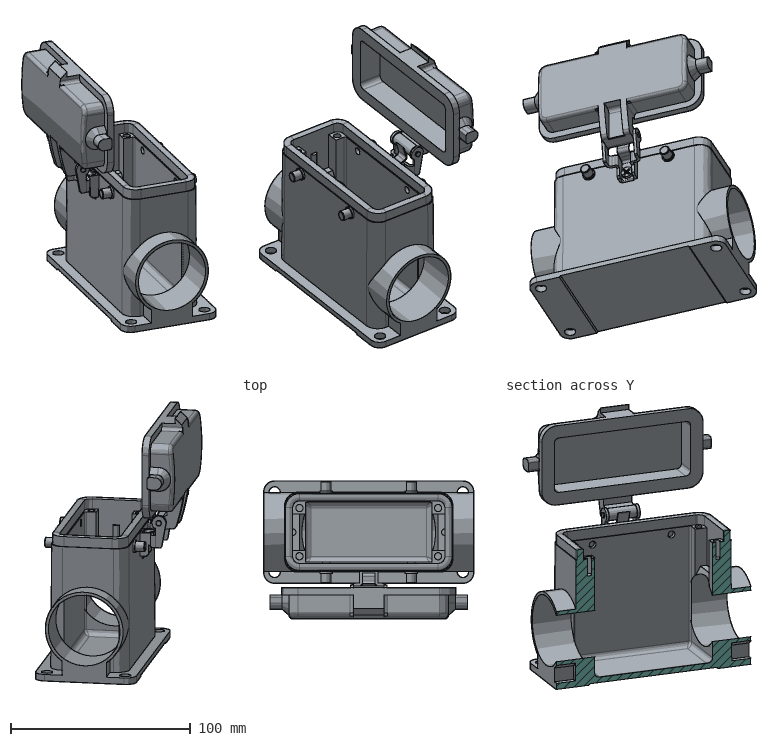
import cadquery as cq
import math

base_length, base_width, base_height = 117.0, 57.0, 3.8
base_corner_radius = 6.0
base_hole_diameter, base_hole_x, base_hole_y = 6.2, 52.4, 22.1
relief_half_length, relief_depth = 38.2, 0.8

wall_length, wall_width, wall_corner_radius = 94.4, 44.6, 7.8
wall_top, wall_draft = 74.6, 0.4
collar_length, collar_width, collar_corner_radius = 92.7, 42.7, 7.7
housing_top, lip_crown = 80.8, 0.5
lip_base = housing_top - lip_crown
lip_thickness = 4.0

mouth_length = collar_length - 2 * lip_thickness
mouth_width = collar_width - 2 * lip_thickness
mouth_corner_radius = collar_corner_radius - lip_thickness
pad_level, ledge_level, ramp_foot_level = 74.5, 52.5, 47.0
pad_inner_y = 10.2
ledge_inner_x = 38.5
pad_hole_diameter, pad_hole_x, pad_hole_y, pad_hole_depth = 4.0, 38.6, 13.4, 10.0
well_length, well_width, well_corner_radius = 70.6, 33.4, 1.1
floor_level, floor_fillet = base_height, 3.2
rib_radius, rib_top = 1.8, 66.0

entry_level, entry_bore, entry_outer_radius = 30.0, 40.5, 22.0
web_width = 25.0

peg_x, peg_level, peg_reach = 23.7, 70.9, 28.3
peg_diameter, peg_collar_diameter, peg_chamfer = 5.6, 7.0, 0.4
peg_collar_reach = 22.9
peg_socket_diameter, peg_socket_depth = 4.0, 2.5

hinge_y, hinge_level = -33.46, 81.3
hinge_pin_diameter, hinge_pin_length = 3.0, 22.0
bracket_seat_y, bracket_back_y = -20.5, -22.8
leg_inner_x, leg_outer_x = 3.6, 5.2
bracket_top, flange_bottom, leg_bottom = 74.0, 67.0, 60.6
leg_front_y, leg_chamfer, leg_bend_radius = -26.7, 1.2, 1.5
cheek_inner_x, cheek_outer_x = 8.5, 10.2
cheek_thickness = cheek_outer_x - cheek_inner_x
bend_outer_radius = 3.3
flange_back_y = -28.2
cheek_back_y = flange_back_y - bend_outer_radius
cheek_head_radius = 4.0
cheek_foot_y, cheek_foot_chamfer = -35.0, 0.6
leaf_width, leaf_thickness = 7.0, 0.7
leaf_bottom, leaf_bend_z, leaf_bend_radius = 59.0, 72.0, 1.6
leaf_shelf_end, leaf_elbow_start = (-27.2, 73.8), (-29.4, 74.6)
leaf_elbow_middle, leaf_elbow_end, leaf_tip = (-30.55, 75.5), (-30.7, 77.0), (-28.85, 82.9)
screw_level, screw_head_diameter, screw_head_height = 64.4, 6.6, 1.6
screw_slot_width, screw_slot_length, screw_slot_depth = 0.8, 4.4, 1.0

lid_level = 115.0
rim_length, rim_height, rim_corner_radius = 97.0, 46.6, 9.0
rim_back_y, rim_thickness = -30.86, 4.0
rim_front_y = rim_back_y - rim_thickness
shell_length, shell_height, shell_corner_radius, shell_fillet = 88.8, 38.7, 5.0, 2.2
lid_front_y, lid_front_radius = -48.36, 120.0
cavity_length, cavity_height, cavity_corner_radius, cavity_depth = 82.0, 32.0, 3.0, 13.5
arm_width, arm_root_fillet = 17.0, 2.0
tongue_top, tongue_back_y, tongue_front_z = 141.28, -42.4, 137.7
arm_back_y, arm_shoulder_z, arm_foot_z = -37.7, 85.5, 79.7
arm_foot_y, arm_foot_middle = -40.9, (-42.4, 78.4)
arm_root_back_fillet = 1.3
knuckle_radius, knuckle_bore = 3.5, 3.05
arm_groove_width, arm_groove_top, arm_groove_floor_y, arm_groove_fillet = 9.6, 98.0, -40.0, 2.5
latch_pin_diameter, latch_pin_span, latch_pin_y = 7.0, 110.0, -39.5
latch_pin_corner_radius = 1.4
latch_cone_radius, latch_cone_tip_x = 6.85, 48.2


def box(x_min, x_max, y_min, y_max, z_min, z_max):
    """Block between the given limits."""
    block = cq.Workplane("XY").box(x_max - x_min, y_max - y_min, z_max - z_min, centered=False)
    return block.translate((x_min, y_min, z_min))


def rounded_block(length, width, radius, z_min, z_max, draft=0.0):
    """Upright block with rounded corners, narrowing upward by the draft angle."""
    outline = cq.Sketch().rect(length, width).vertices().fillet(radius)
    return cq.Workplane("XY", origin=(0, 0, z_min)).placeSketch(outline).extrude(z_max - z_min, taper=draft)


def lid_block(length, height, radius, y_back, depth):
    """Block with rounded corners, centred on the lid and running from y_back toward -Y."""
    outline = cq.Sketch().rect(length, height).vertices().fillet(radius)
    return cq.Workplane("XZ", origin=(0, y_back, lid_level)).placeSketch(outline).extrude(depth)


def rod_along_x(diameter, length, y, z):
    """Round rod along X, centred on X = 0."""
    return cq.Workplane("YZ").center(y, z).circle(diameter / 2).extrude(length / 2, both=True)


def mirrored_x(body):
    """The body together with its mirror image across X = 0."""
    return body.union(body.mirror("YZ"))


def base_plate():
    plate = rounded_block(base_length, base_width, base_corner_radius, 0, base_height)
    relief = (
        cq.Workplane("XZ")
        .moveTo(-relief_half_length - relief_depth, 0)
        .lineTo(-relief_half_length, relief_depth)
        .lineTo(relief_half_length, relief_depth)
        .lineTo(relief_half_length + relief_depth, 0)
        .close()
        .extrude(base_width, both=True)
    )
    holes = (
        cq.Workplane("XY")
        .rect(2 * base_hole_x, 2 * base_hole_y, forConstruction=True)
        .vertices()
        .circle(base_hole_diameter / 2)
        .extrude(base_height)
    )
    return plate.cut(relief).cut(holes)


def crowned_lip():
    """Rounded crown that runs around the mouth of the housing."""
    centre_length = collar_length - lip_thickness
    centre_width = collar_width - lip_thickness
    path = (
        cq.Workplane("XY", origin=(0, 0, lip_base))
        .placeSketch(
            cq.Sketch()
            .rect(centre_length, centre_width)
            .vertices()
            .fillet(collar_corner_radius - lip_thickness / 2)
        )
        .extrude(1)
        .faces("<Z")
        .wires()
    )
    half = lip_thickness / 2
    profile = (
        cq.Workplane("YZ", origin=(0, centre_width / 2, lip_base))
        .moveTo(-half, 0)
        .threePointArc((0, lip_crown), (half, 0))
        .close()
    )
    return profile.sweep(path, transition="right")


def housing_outside():
    walls = rounded_block(wall_length, wall_width, wall_corner_radius, base_height, wall_top, wall_draft)
    collar = rounded_block(collar_length, collar_width, collar_corner_radius, wall_top, lip_base)
    tube = rod_along_x(2 * entry_outer_radius, base_length, 0, entry_level)
    half_length = base_length / 2
    web = box(-half_length, half_length, -web_width / 2, web_width / 2, 0.5 * base_height, entry_level)
    return base_plate().union(walls).union(collar).union(tube).union(web)


def housing_cavity():
    mouth = rounded_block(mouth_length, mouth_width, mouth_corner_radius, pad_level, housing_top)
    well = rounded_block(well_length, well_width, well_corner_radius, floor_level, pad_level)
    well = well.faces("<Z").edges().fillet(floor_fillet)
    half_mouth = mouth_length / 2
    ledges = (
        cq.Workplane("XZ")
        .moveTo(-half_mouth, pad_level)
        .lineTo(-half_mouth, ledge_level)
        .lineTo(-ledge_inner_x, ledge_level)
        .lineTo(-well_length / 2, ramp_foot_level)
        .lineTo(well_length / 2, ramp_foot_level)
        .lineTo(ledge_inner_x, ledge_level)
        .lineTo(half_mouth, ledge_level)
        .lineTo(half_mouth, pad_level)
        .close()
        .extrude(pad_inner_y, both=True)
    )
    pad_holes = (
        cq.Workplane("XY", origin=(0, 0, pad_level - pad_hole_depth))
        .rect(2 * pad_hole_x, 2 * pad_hole_y, forConstruction=True)
        .vertices()
        .circle(pad_hole_diameter / 2)
        .extrude(pad_hole_depth)
    )
    return mouth.union(well).union(ledges).cut(end_ribs()).union(pad_holes)


def end_ribs():
    """Half-round ribs on the two end walls of the cavity."""
    return (
        cq.Workplane("XY", origin=(0, 0, ledge_level))
        .pushPoints([(-mouth_length / 2, 0), (mouth_length / 2, 0)])
        .circle(rib_radius)
        .extrude(rib_top - ledge_level)
    )


def entry_bores():
    """Bores of the two cable entries; the long walls between them stay whole."""
    bore = rod_along_x(entry_bore, base_length, 0, entry_level)
    middle = well_length / 2
    return bore.cut(box(-middle, middle, -base_width, base_width, 0, wall_top))


def peg(x, side):
    """Locking peg with its collar on the wall at side +1 (+Y) or -1 (-Y), and its inner socket."""
    start = well_width / 2
    plane = cq.Plane(origin=(x, side * start, peg_level), xDir=(1, 0, 0), normal=(0, side, 0))
    shank = cq.Workplane(plane).circle(peg_diameter / 2).extrude(peg_reach - start)
    shank = shank.faces(">Y" if side > 0 else "<Y").chamfer(peg_chamfer)
    collar = cq.Workplane(plane).circle(peg_collar_diameter / 2).extrude(peg_collar_reach - start)
    socket = cq.Workplane(plane).circle(peg_socket_diameter / 2).extrude(peg_socket_depth)
    return shank.union(collar), socket


def bracket_leg():
    leg = (
        cq.Workplane("YZ", origin=(leg_inner_x, 0, 0))
        .moveTo(bracket_seat_y, bracket_top)
        .lineTo(flange_back_y, bracket_top)
        .lineTo(flange_back_y, flange_bottom)
        .lineTo(leg_front_y, flange_bottom)
        .lineTo(leg_front_y, leg_bottom + leg_chamfer)
        .lineTo(leg_front_y + leg_chamfer, leg_bottom)
        .lineTo(bracket_seat_y, leg_bottom)
        .close()
    )
    return leg.extrude(leg_outer_x - leg_inner_x)


def bracket_flange():
    """Flange from the leg outward, with the bend that turns it into the cheek."""
    bend_x = cheek_outer_x - bend_outer_radius
    flange_front_y = flange_back_y - cheek_thickness
    bend_inner_radius = bend_outer_radius - cheek_thickness
    sheet = (
        cq.Workplane("XY", origin=(0, 0, flange_bottom))
        .moveTo(leg_inner_x, flange_back_y)
        .lineTo(bend_x, flange_back_y)
        .radiusArc((cheek_outer_x, cheek_back_y), bend_outer_radius)
        .lineTo(cheek_inner_x, cheek_back_y)
        .radiusArc((bend_x, flange_front_y), -bend_inner_radius)
        .lineTo(leg_inner_x + leg_bend_radius, flange_front_y)
        .radiusArc((leg_inner_x, flange_front_y + leg_bend_radius), leg_bend_radius)
        .close()
    )
    return sheet.extrude(bracket_top - flange_bottom)


def bracket_cheek():
    """Side cheek that carries the hinge pin."""
    plane = cq.Workplane("YZ", origin=(cheek_inner_x, 0, 0))
    head = plane.center(hinge_y, hinge_level).circle(cheek_head_radius).extrude(cheek_thickness)
    blade = (
        plane.moveTo(cheek_back_y, hinge_level)
        .lineTo(cheek_back_y, flange_bottom)
        .lineTo(cheek_foot_y + cheek_foot_chamfer, flange_bottom)
        .lineTo(cheek_foot_y, flange_bottom + cheek_foot_chamfer)
        .lineTo(hinge_y - cheek_head_radius, hinge_level)
        .close()
        .extrude(cheek_thickness)
    )
    return head.union(blade)


def spring_leaf():
    """Bent leaf that is screwed to the bracket and reaches up behind the lid's knuckle."""
    flat_y = bracket_back_y - leaf_thickness / 2
    centre_line = (
        cq.Workplane("YZ", origin=(-leaf_width / 2, 0, 0))
        .moveTo(flat_y, leaf_bottom + leaf_thickness / 2)
        .lineTo(flat_y, leaf_bend_z)
        .radiusArc((flat_y - leaf_bend_radius, leaf_bend_z + leaf_bend_radius), -leaf_bend_radius)
        .lineTo(*leaf_shelf_end)
        .lineTo(*leaf_elbow_start)
        .threePointArc(leaf_elbow_middle, leaf_elbow_end)
        .lineTo(*leaf_tip)
    )
    return centre_line.offset2D(leaf_thickness / 2).extrude(leaf_width)


def bracket_screw():
    """Screw head with a cross recess."""
    seat_y = bracket_back_y - leaf_thickness
    plane = cq.Workplane("XZ", origin=(0, seat_y, screw_level))
    head = plane.circle(screw_head_diameter / 2).extrude(screw_head_height)
    slot_plane = plane.workplane(offset=screw_head_height - screw_slot_depth)
    for angle in (45, 135):
        slot = slot_plane.transformed(rotate=(0, 0, angle)).rect(screw_slot_length, screw_slot_width)
        head = head.cut(slot.extrude(screw_slot_depth))
    return head


def hinge_bracket():
    back = box(-leg_outer_x, leg_outer_x, bracket_back_y, bracket_seat_y, leg_bottom, bracket_top)
    side = bracket_leg().union(bracket_flange()).union(bracket_cheek())
    pin = rod_along_x(hinge_pin_diameter, hinge_pin_length, hinge_y, hinge_level)
    return back.union(mirrored_x(side)).union(pin).union(spring_leaf()).union(bracket_screw())


def make_housing():
    body = housing_outside().cut(housing_cavity()).cut(entry_bores()).union(crowned_lip())
    for x in (-peg_x, peg_x):
        for side in (-1, 1):
            solid_peg, socket = peg(x, side)
            body = body.union(solid_peg).cut(socket)
    return body.union(hinge_bracket())


def front_y(z):
    """Y of the lid's curved front at height z."""
    centre_y = lid_front_y + lid_front_radius
    return centre_y - math.sqrt(lid_front_radius**2 - (z - lid_level) ** 2)


def lid_shell():
    blank_depth = rim_front_y - lid_front_y
    blank = lid_block(shell_length, shell_height, shell_corner_radius, rim_front_y, blank_depth)
    front = rod_along_x(2 * lid_front_radius, shell_length, lid_front_y + lid_front_radius, lid_level)
    return blank.intersect(front).faces("<Y").edges().fillet(shell_fillet)


def lid_arm():
    """Band that forms the latch tongue above the lid and the hinge arm below it."""
    rim_top = lid_level + rim_height / 2
    rim_bottom = lid_level - rim_height / 2
    knuckle_foot = hinge_level - knuckle_radius
    slope = math.radians(30)
    knuckle_meet = (hinge_y - knuckle_radius * math.sin(slope), hinge_level + knuckle_radius * math.cos(slope))
    band = (
        cq.Workplane("YZ")
        .moveTo(rim_front_y, rim_top)
        .lineTo(tongue_back_y, rim_top)
        .lineTo(tongue_back_y, tongue_top)
        .lineTo(front_y(tongue_front_z), tongue_front_z)
        .threePointArc((lid_front_y, lid_level), (front_y(arm_foot_z), arm_foot_z))
        .threePointArc(arm_foot_middle, (arm_foot_y, knuckle_foot))
        .lineTo(hinge_y, knuckle_foot)
        .threePointArc((hinge_y + knuckle_radius, hinge_level), knuckle_meet)
        .lineTo(arm_back_y, arm_shoulder_z)
        .lineTo(arm_back_y, rim_bottom - arm_root_back_fillet)
        .radiusArc((arm_back_y + arm_root_back_fillet, rim_bottom), arm_root_back_fillet)
        .lineTo(rim_front_y, rim_bottom)
        .close()
    )
    return band.extrude(arm_width / 2, both=True)


def arm_groove():
    """Groove down the middle of the hinge arm."""
    half = arm_groove_width / 2
    bottom = hinge_level - knuckle_radius
    groove = box(-half, half, lid_front_y, arm_groove_floor_y, bottom, arm_groove_top)
    return groove.edges(">Z and >Y").fillet(arm_groove_fillet)


def arm_root_fillets():
    """Concave corner fillets between the band and the top and bottom of the shell."""
    corner_x = arm_width / 2
    size = arm_root_fillet
    depth = rim_front_y - front_y(lid_level + shell_height / 2)
    fillets = cq.Workplane("XY")
    for x_side in (-1, 1):
        for z_side in (-1, 1):
            x, z = x_side * corner_x, z_side * shell_height / 2
            corner = (
                cq.Workplane("XZ", origin=(0, rim_front_y, lid_level))
                .moveTo(x, z)
                .lineTo(x + x_side * size, z)
                .radiusArc((x, z + z_side * size), x_side * z_side * size)
                .close()
                .extrude(depth)
            )
            fillets = fillets.add(corner)
    return fillets.combine()


def latch_pin():
    """Pin at the +X end of the lid with its conical root, both flat on the side facing the rim."""
    root_x = shell_length / 2
    start_x = root_x - 2.0
    pin_radius = latch_pin_diameter / 2
    pin = (
        cq.Workplane("YZ", origin=(start_x, 0, lid_level))
        .moveTo(rim_front_y, -pin_radius)
        .lineTo(latch_pin_y, -pin_radius)
        .threePointArc((latch_pin_y - pin_radius, 0), (latch_pin_y, pin_radius))
        .lineTo(rim_front_y, pin_radius)
        .close()
        .extrude(latch_pin_span / 2 - start_x)
        .edges(">Y and |X")
        .fillet(latch_pin_corner_radius)
    )
    upper_side = [(start_x, latch_cone_radius), (root_x, latch_cone_radius), (latch_cone_tip_x, pin_radius)]
    root_plane = cq.Workplane("XZ", origin=(0, latch_pin_y, lid_level))
    lower_side = [(x, -z) for x, z in reversed(upper_side)]
    cone = (
        root_plane.polyline([(start_x, 0), *upper_side, (latch_cone_tip_x, 0)])
        .close()
        .revolve(360, (0, 0, 0), (1, 0, 0))
    )
    web = root_plane.polyline(upper_side + lower_side).close().extrude(latch_pin_y - rim_front_y)
    return pin.union(cone).union(web)


def make_lid():
    rim = lid_block(rim_length, rim_height, rim_corner_radius, rim_back_y, rim_thickness)
    body = lid_shell().union(lid_arm()).union(arm_root_fillets()).union(rim)
    body = body.union(latch_pin()).union(latch_pin().mirror("YZ"))
    cavity = lid_block(cavity_length, cavity_height, cavity_corner_radius, rim_back_y, cavity_depth)
    bore = rod_along_x(knuckle_bore, arm_width, hinge_y, hinge_level)
    return body.cut(cavity).cut(arm_groove()).cut(bore)


housing = make_housing()
lid = make_lid()

result = cq.Compound.makeCompound([*housing.vals(), *lid.vals()])